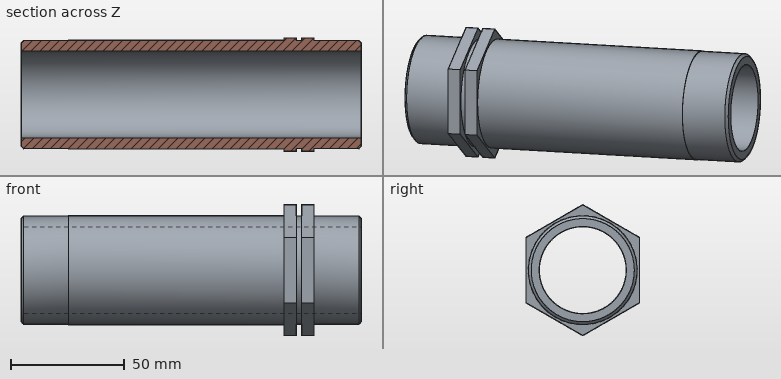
import cadquery as cq

length = 150.0
bore_diameter = 38.2
end_diameter = 47.8
body_diameter = 48.2
end_chamfer = 1.2
body_start = 20.8

nut_corner_width = 57.8
nut_thickness = 5.5
nut_gap = 2.2
first_nut_start = 115.8
second_nut_start = first_nut_start + nut_thickness + nut_gap


def cylinder(start, cylinder_length, diameter):
    """Solid cylinder along +X, beginning at the given X position."""
    return cq.Workplane("YZ", origin=(start, 0, 0)).circle(diameter / 2).extrude(cylinder_length)


def hex_nut(start):
    """Hexagonal plate with corners pointing up and down along Z."""
    return (
        cq.Workplane("YZ", origin=(start, 0, 0))
        .transformed(rotate=(0, 0, 90))
        .polygon(6, nut_corner_width)
        .extrude(nut_thickness)
    )


tube = cylinder(0, length, end_diameter).faces("<X or >X").chamfer(end_chamfer)

body = cylinder(body_start, first_nut_start - body_start, body_diameter)
outside = tube.union(body)

for nut_start in (first_nut_start, second_nut_start):
    outside = outside.union(hex_nut(nut_start))

result = outside.cut(cylinder(0, length, bore_diameter))